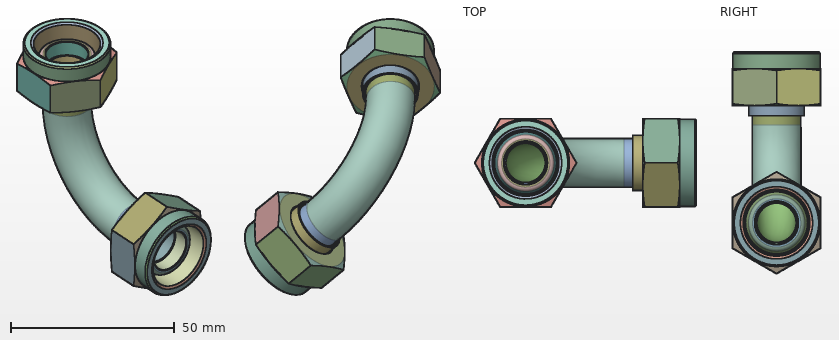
import cadquery as cq
import math

SIZE = 67.8
HEX_FLATS = 27.0
HEX_CORNER_RADIUS = HEX_FLATS / math.sqrt(3)
AXIS_OFFSET = HEX_CORNER_RADIUS

TUBE_RADIUS = 15.0 / 2
TUBE_BORE_RADIUS = 12.0 / 2
STRAIGHT_END = 22.2
BEND_RADIUS = SIZE - AXIS_OFFSET - STRAIGHT_END

TIP_DEPTH = 4.1
TIP_RADIUS = 7.4
HEAD_RADIUS = 9.5
NOSE_RADIUS = 1.3
CONE_HALF_ANGLE = math.radians(12)
COUNTERBORE_RADIUS = 13.0 / 2
COUNTERBORE_END = 9.1
MOUTH_CHAMFER = 0.2

CONE_START_RADIUS = TIP_RADIUS + NOSE_RADIUS * math.cos(CONE_HALF_ANGLE)
CONE_START = TIP_DEPTH + NOSE_RADIUS * (1 - math.sin(CONE_HALF_ANGLE))
HEAD_END = CONE_START + (HEAD_RADIUS - CONE_START_RADIUS) / math.tan(CONE_HALF_ANGLE)

SLEEVE_RADIUS = 17.0 / 2
SLEEVE_BORE_RADIUS = 15.1 / 2
SLEEVE_END = 19.5
FLANGE_RADIUS = 19.5 / 2
FLANGE_END = 11.5
SLEEVE_MOUTH_CHAMFER = 0.5

COLLAR_RADIUS = 26.8 / 2
COLLAR_END = 5.1
COLLAR_CHAMFER = 0.5
NUT_END = 16.4
NUT_BORE_RADIUS = 20.4 / 2
NUT_MOUTH_RADIUS = 11.05
NUT_MOUTH_DEPTH = 0.4
NUT_REAR_BORE_RADIUS = 17.3 / 2
NUT_REAR_CHAMFER = 0.2
HEX_CHAMFER_RADIUS = 13.35
HEX_CHAMFER_ANGLE = 15.0


def revolve_profile(profile):
    """Revolve an XZ half section about the Z axis."""
    return profile.close().revolve(360, (0, 0, 0), (0, 1, 0))


def radial_polygon(points):
    """Revolve a polygon given as (radius, depth) points."""
    return revolve_profile(cq.Workplane("XZ").polyline([(r, -depth) for r, depth in points]))


def make_nut():
    """Nut with its open end at the origin, reaching down -Z."""
    corner_drop = (HEX_CORNER_RADIUS - HEX_CHAMFER_RADIUS) * math.tan(math.radians(HEX_CHAMFER_ANGLE))
    hexagon = (
        cq.Workplane("XY").workplane(offset=-NUT_END)
        .polygon(6, 2 * HEX_CORNER_RADIUS).extrude(NUT_END - COLLAR_END)
    )
    chamfer_envelope = radial_polygon([
        (0, COLLAR_END),
        (HEX_CHAMFER_RADIUS, COLLAR_END),
        (HEX_CORNER_RADIUS, COLLAR_END + corner_drop),
        (HEX_CORNER_RADIUS, NUT_END - corner_drop),
        (HEX_CHAMFER_RADIUS, NUT_END),
        (0, NUT_END),
    ])
    collar = radial_polygon([
        (0, 0),
        (COLLAR_RADIUS - COLLAR_CHAMFER, 0),
        (COLLAR_RADIUS, COLLAR_CHAMFER),
        (COLLAR_RADIUS, COLLAR_END),
        (0, COLLAR_END),
    ])
    bore = radial_polygon([
        (0, 0),
        (NUT_MOUTH_RADIUS, 0),
        (NUT_BORE_RADIUS, NUT_MOUTH_DEPTH),
        (NUT_BORE_RADIUS, FLANGE_END),
        (NUT_REAR_BORE_RADIUS, FLANGE_END),
        (NUT_REAR_BORE_RADIUS, NUT_END - NUT_REAR_CHAMFER),
        (NUT_REAR_BORE_RADIUS + NUT_REAR_CHAMFER, NUT_END),
        (0, NUT_END),
    ])
    return hexagon.intersect(chamfer_envelope).union(collar).cut(bore)


def make_sleeve():
    """Sleeve on the nut axis, its flange seated on the nut shoulder."""
    return radial_polygon([
        (SLEEVE_BORE_RADIUS, HEAD_END),
        (FLANGE_RADIUS, HEAD_END),
        (FLANGE_RADIUS, FLANGE_END),
        (SLEEVE_RADIUS, FLANGE_END),
        (SLEEVE_RADIUS, SLEEVE_END),
        (SLEEVE_BORE_RADIUS + SLEEVE_MOUTH_CHAMFER, SLEEVE_END),
        (SLEEVE_BORE_RADIUS, SLEEVE_END - SLEEVE_MOUTH_CHAMFER),
    ])


def make_tube_end():
    """Straight tube end with a rounded head and a counterbored mouth."""
    profile = (
        cq.Workplane("XZ")
        .moveTo(COUNTERBORE_RADIUS + MOUTH_CHAMFER, -TIP_DEPTH)
        .lineTo(TIP_RADIUS, -TIP_DEPTH)
        .radiusArc((CONE_START_RADIUS, -CONE_START), NOSE_RADIUS)
        .lineTo(HEAD_RADIUS, -HEAD_END)
        .lineTo(TUBE_RADIUS, -HEAD_END)
        .lineTo(TUBE_RADIUS, -STRAIGHT_END)
        .lineTo(TUBE_BORE_RADIUS, -STRAIGHT_END)
        .lineTo(TUBE_BORE_RADIUS, -COUNTERBORE_END)
        .lineTo(COUNTERBORE_RADIUS, -COUNTERBORE_END)
        .lineTo(COUNTERBORE_RADIUS, -TIP_DEPTH - MOUTH_CHAMFER)
    )
    return revolve_profile(profile)


def on_upper_leg(body):
    """Move a body to the leg that opens toward +Z."""
    return body.translate((AXIS_OFFSET, 0, SIZE))


def on_side_leg(body):
    """Move a body to the leg that opens toward +X."""
    return body.rotate((0, 0, 0), (0, 1, 0), 90).translate((SIZE, 0, AXIS_OFFSET))


def make_tube():
    """Quarter bend joined to a formed straight end on each leg."""
    bend = (
        cq.Workplane("XY", origin=(AXIS_OFFSET, 0, SIZE - STRAIGHT_END))
        .circle(TUBE_RADIUS).circle(TUBE_BORE_RADIUS)
        .revolve(90, (BEND_RADIUS, 0, 0), (BEND_RADIUS, -1, 0))
    )
    end = make_tube_end()
    return bend.union(on_upper_leg(end)).union(on_side_leg(end))


tube = make_tube()
nuts = []
sleeves = []
for place in (on_upper_leg, on_side_leg):
    nuts.append(place(make_nut()).val())
    sleeves.append(place(make_sleeve()).val())

result = cq.Compound.makeCompound([tube.val(), *sleeves, *nuts])